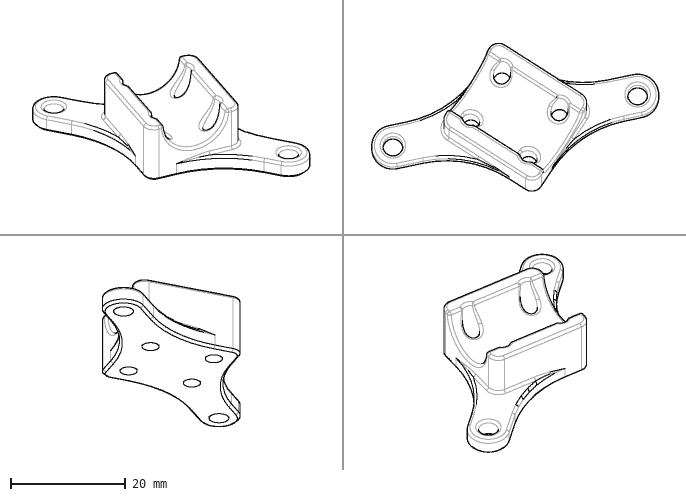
import cadquery as cq
import math

overall_size = 38.47
block_length = 20.0
block_width = 18.0
block_height = 11.0
block_corner_radius = 2.0
plate_thickness = 3.0
edge_radius = 0.5

arm_angle = math.radians(45)
arm_radius = 3.75
arm_blend_radius = 20.0
arm_hole_diameter = 3.45

saddle_radius = 6.0
block_hole_diameter = 3.0
block_hole_spacing_x = 12.0
block_hole_spacing_y = 10.0

half_length = block_length / 2
half_width = block_width / 2
tip_center = overall_size / 2 - arm_radius
arm_offset = arm_radius * math.sqrt(2)
blend_tangent = arm_blend_radius * math.tan(arm_angle / 2)
blend_tangent_leg = blend_tangent / math.sqrt(2)
arm_corner_x = half_width - arm_offset
arm_corner_y = half_length - arm_offset
tip_side = arm_radius / math.sqrt(2)


def add_half_outline(sketch, sign):
    """Trace half the base outline, turned half a turn about Z when sign is -1."""

    def at(x, y):
        return (sign * x, sign * y)

    sketch = sketch.lineTo(*at(half_length, arm_corner_y - blend_tangent))
    sketch = sketch.tangentArcPoint(
        at(half_length + blend_tangent_leg, arm_corner_y + blend_tangent_leg), relative=False
    )
    sketch = sketch.lineTo(*at(tip_center + tip_side, tip_center - tip_side))
    sketch = sketch.tangentArcPoint(at(tip_center - tip_side, tip_center + tip_side), relative=False)
    sketch = sketch.lineTo(*at(arm_corner_x + blend_tangent_leg, half_width + blend_tangent_leg))
    sketch = sketch.tangentArcPoint(at(arm_corner_x - blend_tangent, half_width), relative=False)
    sketch = sketch.lineTo(*at(block_corner_radius - half_length, half_width))
    return sketch.tangentArcPoint(at(-half_length, half_width - block_corner_radius), relative=False)


def between_heights(low, high):
    """Selector for everything centred between two heights."""
    return cq.selectors.BoxSelector(
        (-overall_size, -overall_size, low),
        (overall_size, overall_size, high),
    )


def make_base():
    """Plate with both arms, chamfered below, drilled at the tips and rounded on top."""
    outline = cq.Workplane("XY").moveTo(half_length, block_corner_radius - half_width)
    outline = add_half_outline(outline, 1)
    outline = add_half_outline(outline, -1)
    plate = outline.close().extrude(plate_thickness)
    plate = plate.faces("<Z").edges().chamfer(edge_radius)

    tips = [(tip_center, tip_center), (-tip_center, -tip_center)]
    holes = cq.Workplane("XY").pushPoints(tips).circle(arm_hole_diameter / 2).extrude(plate_thickness)
    return plate.cut(holes).faces(">Z").edges().fillet(edge_radius)


def make_block():
    """Upright block, started just above the bottom chamfer of the base."""
    block = cq.Workplane("XY").workplane(offset=edge_radius)
    block = block.rect(block_length, block_width).extrude(block_height - edge_radius)
    return block.edges("|Z").fillet(block_corner_radius)


def cut_saddle(body):
    """Cut the half-round trough and the four through holes, then round the edges left on top."""
    trough = cq.Workplane("YZ", origin=(-half_length, 0, block_height))
    trough = trough.circle(saddle_radius).extrude(block_length)
    holes = cq.Workplane("XY").rarray(block_hole_spacing_x, block_hole_spacing_y, 2, 2)
    holes = holes.circle(block_hole_diameter / 2).extrude(block_height)
    body = body.cut(trough).cut(holes)

    trough_floor = block_height - saddle_radius
    above_floor = between_heights(trough_floor, block_height + edge_radius)
    return body.edges("not |Z").edges(above_floor).fillet(edge_radius)


def round_block_foot(body):
    """Fillet the block walls into the arms; it runs on from the long sides along tangent edges."""
    around_plate_top = between_heights(plate_thickness - edge_radius / 2, plate_thickness + edge_radius / 2)
    return body.edges("|X").edges(around_plate_top).fillet(edge_radius)


result = make_base().union(make_block())
result = cut_saddle(result)
result = round_block_foot(result)